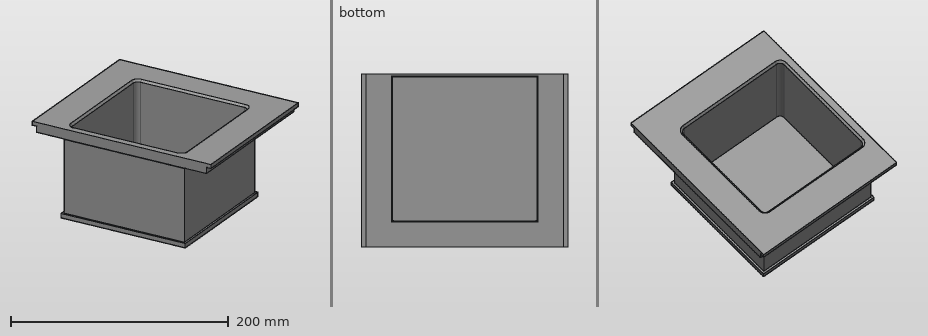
import cadquery as cq

plate_length = 190.0
plate_width = 159.0
plate_thickness = 10.0
lip_thickness = 4.0
lip_overhang = 4.5

total_height = 92.0
cavity_side = 120.0
cavity_corner_radius = 5.0
wall_thickness = 4.0
bin_side = cavity_side + 2 * wall_thickness
bin_front_margin = 5.0
rim_chamfer = 2.0
flare_size = 3.0

base_thickness = 4.5
base_overhang = 2.0
seat_depth = 1.5
base_side = bin_side + 2 * base_overhang

plate_bottom = total_height - plate_thickness
floor_height = base_thickness - seat_depth
lip_bottom = total_height - lip_thickness
bin_center_y = -plate_width / 2 + bin_front_margin + bin_side / 2


def block(length, width, height, bottom, center_y=0.0):
    """Upright rectangular block centred on X = 0."""
    return (
        cq.Workplane("XY", origin=(0, center_y, bottom))
        .rect(length, width)
        .extrude(height)
    )


def make_flare():
    """Sloping collar that widens the bin walls where they meet the plate."""
    return (
        cq.Workplane("XY", origin=(0, bin_center_y, plate_bottom - flare_size))
        .rect(bin_side, bin_side)
        .workplane(offset=flare_size)
        .rect(bin_side + 2 * flare_size, bin_side + 2 * flare_size)
        .loft()
    )


def make_cavity():
    """Round-cornered through opening, widened by a chamfer at the rim."""
    cavity_height = total_height - floor_height
    opening = block(cavity_side, cavity_side, cavity_height, floor_height, bin_center_y)
    opening = opening.edges("|Z").fillet(cavity_corner_radius)

    rim_side = cavity_side + 2 * rim_chamfer
    rim_radius = cavity_corner_radius + rim_chamfer
    rim_outline = cq.Sketch().rect(rim_side, rim_side).vertices().fillet(rim_radius)
    cavity_outline = cq.Sketch().rect(cavity_side, cavity_side).vertices().fillet(cavity_corner_radius)
    rim = (
        cq.Workplane("XY", origin=(0, bin_center_y, total_height - rim_chamfer))
        .placeSketch(cavity_outline, rim_outline.moved(cq.Location(cq.Vector(0, 0, rim_chamfer))))
        .loft()
    )
    return opening.union(rim)


def make_housing():
    """Top plate and open-bottomed bin as one solid."""
    lip = block(plate_length, plate_width, lip_thickness, lip_bottom)
    slab_length = plate_length - 2 * lip_overhang
    slab = block(slab_length, plate_width, plate_thickness - lip_thickness, plate_bottom)
    walls_height = plate_bottom - floor_height
    walls = block(bin_side, bin_side, walls_height, floor_height, bin_center_y)
    return lip.union(slab).union(walls).union(make_flare()).cut(make_cavity())


def make_base():
    """Square plate forming the floor, with a shallow recess that seats the bin walls."""
    plate = block(base_side, base_side, base_thickness, 0, bin_center_y)
    seat = block(bin_side, bin_side, seat_depth, floor_height, bin_center_y)
    return plate.cut(seat)


housing = make_housing()
base = make_base()

result = cq.Compound.makeCompound([housing.val(), base.val()])